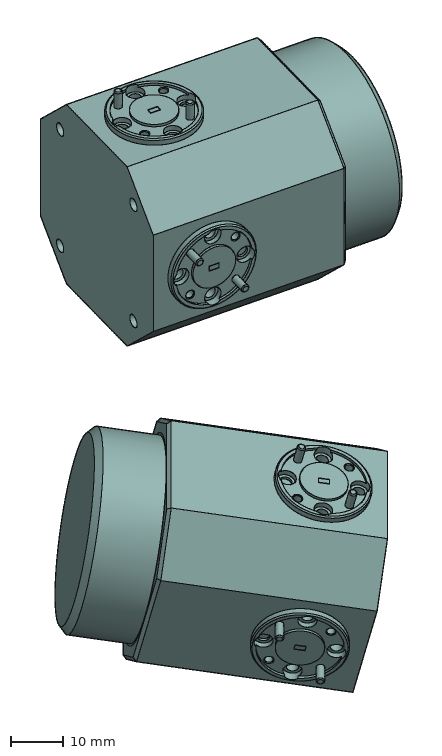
import cadquery as cq
import math


BLOCK_WIDTH = 43.05
BLOCK_LENGTH = 43.15
CORNER_CHAMFER = 9.95
BACK_CHAMFER = 0.75
MOUNT_HOLE_DIAMETER = 2.75
MOUNT_HOLE_OFFSET = 13.95
MOUNT_HOLE_DEPTH = 12.5

TOTAL_LENGTH = 56.9
ROTOR_DIAMETER = 41.45
ROTOR_FRONT = 10.0
KNOB_DIAMETER = 40.5
KNOB_CHAMFER = 1.4

PORT_COUNT = 4
PORT_Y = 12.75
BOLT_CIRCLE = 14.3
SCREW_HOLE_COUNT = 4
FLANGE_DIAMETER = 19.0
FLANGE_HEIGHT = 1.4
FLANGE_CHAMFER = 0.3
GROOVE_DIAMETER = 16.95
BOSS_DIAMETER = 9.5
GROOVE_DEPTH = 0.55
GUIDE_WIDTH = 1.15
GUIDE_LENGTH = 2.15
GUIDE_DEPTH = 0.1

SCREW_HOLE_DIAMETER = 2.4
SCREW_HOLE_DEPTH = 4.0
COUNTERBORE_DIAMETER = 3.65
COUNTERBORE_DEPTH = 1.7
DOWEL_HOLE_DIAMETER = 1.65
DOWEL_HOLE_DEPTH = 3.4
DOWEL_HOLE_CHAMFER = 0.15
DRILL_POINT_ANGLE = 118
PIN_DIAMETER = 1.65
PIN_CHAMFER = 0.2
PIN_TIP_SPAN = 52.4

SIDE_LEVEL = BLOCK_WIDTH / 2
FLANGE_LEVEL = SIDE_LEVEL + FLANGE_HEIGHT
GROOVE_LEVEL = FLANGE_LEVEL - GROOVE_DEPTH
BOLT_RADIUS = BOLT_CIRCLE / 2
DOWEL_OFFSET = BOLT_RADIUS / math.sqrt(2)
PIN_POINTS = [(-DOWEL_OFFSET, -DOWEL_OFFSET), (DOWEL_OFFSET, DOWEL_OFFSET)]
DOWEL_HOLE_POINTS = [(-DOWEL_OFFSET, DOWEL_OFFSET), (DOWEL_OFFSET, -DOWEL_OFFSET)]


def cross_section(y):
    """Workplane across the block at the given Y, extruding along +Y."""
    return cq.Workplane(cq.Plane(origin=(0, y, 0), xDir=(0, 0, 1), normal=(0, 1, 0)))


def port_level(z):
    """Workplane centred on the top port at the given height, extruding along +Z."""
    return cq.Workplane("XY", origin=(0, PORT_Y, z))


def make_block():
    """Octagonal block, chamfered at the back, with blind mounting holes in its front face."""
    block = cross_section(0).rect(BLOCK_WIDTH, BLOCK_WIDTH).extrude(BLOCK_LENGTH)
    block = block.edges("|Y").chamfer(CORNER_CHAMFER)
    block = block.faces(">Y").chamfer(BACK_CHAMFER)
    mount_holes = (
        cross_section(0)
        .rect(2 * MOUNT_HOLE_OFFSET, 2 * MOUNT_HOLE_OFFSET, forConstruction=True)
        .vertices()
        .circle(MOUNT_HOLE_DIAMETER / 2)
        .extrude(MOUNT_HOLE_DEPTH)
    )
    return block.cut(mount_holes)


def make_flange():
    """Round flange of the top port, with a ring groove around its centre boss."""
    flange = port_level(SIDE_LEVEL).circle(FLANGE_DIAMETER / 2).extrude(FLANGE_HEIGHT)
    flange = flange.faces(">Z").edges().chamfer(FLANGE_CHAMFER)
    groove = port_level(GROOVE_LEVEL).circle(GROOVE_DIAMETER / 2).circle(BOSS_DIAMETER / 2)
    return flange.cut(groove.extrude(GROOVE_DEPTH))


def drill(diameter, depth):
    """Drill-shaped cutter with a pointed end, standing on the origin and reaching down to -depth."""
    radius = diameter / 2
    point_height = radius / math.tan(math.radians(DRILL_POINT_ANGLE / 2))
    outline = cq.Workplane("XZ").polyline(
        [(0, 0), (radius, 0), (radius, -depth), (0, -depth - point_height)]
    )
    return outline.close().revolve(360, (0, 0), (0, 1))


def make_screw_hole():
    counterbore = cq.Workplane("XY").circle(COUNTERBORE_DIAMETER / 2).extrude(-COUNTERBORE_DEPTH)
    return drill(SCREW_HOLE_DIAMETER, SCREW_HOLE_DEPTH).union(counterbore).val()


def make_dowel_hole():
    """Dowel hole cutter whose chamfered mouth lies at the origin, with clearance above it."""
    radius = DOWEL_HOLE_DIAMETER / 2
    mouth = cq.Solid.makeCone(radius, radius + DOWEL_HOLE_CHAMFER, DOWEL_HOLE_CHAMFER)
    mouth = mouth.translate(cq.Vector(0, 0, -DOWEL_HOLE_CHAMFER))
    return drill(DOWEL_HOLE_DIAMETER, DOWEL_HOLE_DEPTH).union(cq.Workplane(mouth)).val()


def make_port_cuts():
    """All holes of the top port: screw holes, dowel holes and the waveguide opening."""
    screw_hole = make_screw_hole()
    dowel_hole = make_dowel_hole()
    screw_holes = port_level(FLANGE_LEVEL).polarArray(BOLT_RADIUS, 0, 360, SCREW_HOLE_COUNT, rotate=False)
    dowel_holes = port_level(GROOVE_LEVEL).pushPoints(DOWEL_HOLE_POINTS)
    guide = port_level(FLANGE_LEVEL).rect(GUIDE_WIDTH, GUIDE_LENGTH).extrude(-GUIDE_DEPTH)
    cuts = guide.union(screw_holes.eachpoint(lambda place: screw_hole.moved(place)))
    return cuts.union(dowel_holes.eachpoint(lambda place: dowel_hole.moved(place)))


def make_pins():
    pins = port_level(SIDE_LEVEL).pushPoints(PIN_POINTS).circle(PIN_DIAMETER / 2)
    pins = pins.extrude(PIN_TIP_SPAN / 2 - SIDE_LEVEL)
    return pins.faces(">Z").edges().chamfer(PIN_CHAMFER)


def make_rotor():
    return cross_section(ROTOR_FRONT).circle(ROTOR_DIAMETER / 2).extrude(BLOCK_LENGTH - ROTOR_FRONT)


def make_housing():
    """Block with its four ports and the bore that the rotor fills."""
    flange = make_flange()
    port_cuts = make_port_cuts()
    pins = make_pins()
    housing = make_block()
    for i in range(PORT_COUNT):
        turn = ((0, 0, 0), (0, 1, 0), i * 360 / PORT_COUNT)
        housing = housing.union(flange.rotate(*turn))
        housing = housing.cut(port_cuts.rotate(*turn))
        housing = housing.union(pins.rotate(*turn))
    return housing.cut(make_rotor())


def make_knob():
    """Rotor with the chamfered hand knob on its back end."""
    grip = cross_section(BLOCK_LENGTH).circle(KNOB_DIAMETER / 2).extrude(TOTAL_LENGTH - BLOCK_LENGTH)
    grip = grip.faces(">Y").edges().chamfer(KNOB_CHAMFER)
    return make_rotor().union(grip)


housing = make_housing()
knob = make_knob()

result = cq.Compound.makeCompound([housing.val(), knob.val()])